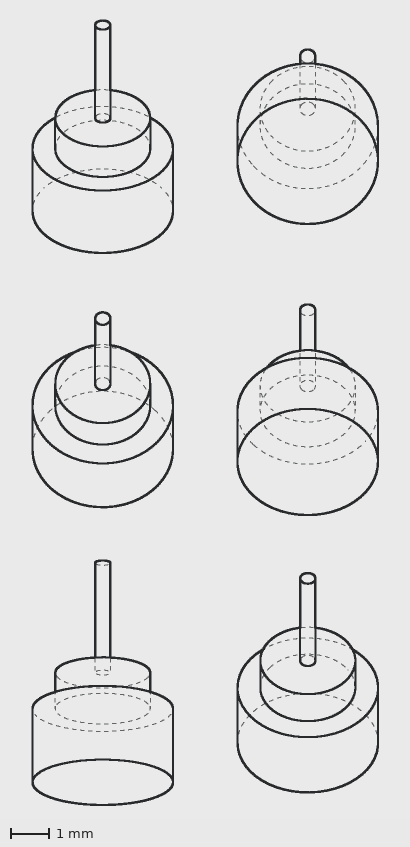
import cadquery as cq

total_height = 6.1
base_diameter = 3.7
base_height = 2.05

collar_diameter = 2.5
collar_height = 1.0
pin_diameter = 0.4
pin_length = total_height - base_height - collar_height


def add_cylinder(body, diameter, height):
    """Stack a coaxial cylinder on the top face of the body."""
    return body.faces(">Z").workplane().circle(diameter / 2).extrude(height)


base = cq.Workplane("XY").circle(base_diameter / 2).extrude(base_height)
base_with_collar = add_cylinder(base, collar_diameter, collar_height)
result = add_cylinder(base_with_collar, pin_diameter, pin_length)